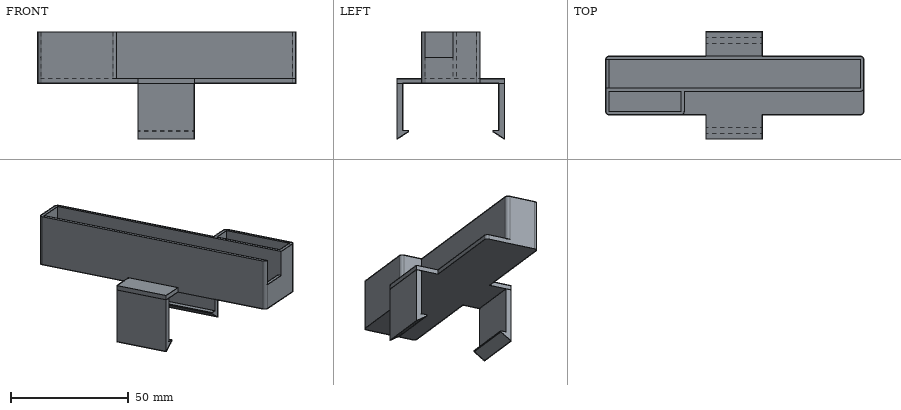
import cadquery as cq

tray_length = 110.0
tray_height = 22.0
base_thickness = 2.0
wall = 1.5
corner_radius = 1.5

long_pocket_width = 12.0
short_pocket_length = 30.5
short_pocket_width = 8.5
end_notch_depth = tray_height / 2

long_box_width = long_pocket_width + 2 * wall
short_box_length = short_pocket_length + 2 * wall
short_box_width = short_pocket_width + 2 * wall
tray_width = long_box_width + short_box_width - wall
long_pocket_length = tray_length - 2 * wall
divider_y = short_box_width - wall
pocket_depth = tray_height - base_thickness

tab_start = 42.75
tab_length = 24.0
tab_reach = 10.4

clip_thickness = 2.5
clip_straight_drop = 20.0
hook_reach = 2.5
hook_tip_thickness = 0.5
clip_drop = 23.75

front_tab_y = -tab_reach
back_tab_y = tray_width + tab_reach


def block(x, y, z, length, width, height):
    """Box placed by its lowest corner."""
    return cq.Workplane("XY").box(length, width, height, centered=False).translate((x, y, z))


def make_tray():
    base = block(0, 0, 0, tray_length, tray_width, base_thickness).edges("|Z").fillet(corner_radius)
    tabs = block(tab_start, front_tab_y, 0, tab_length, back_tab_y - front_tab_y, base_thickness)

    long_box = block(0, divider_y, 0, tray_length, long_box_width, tray_height)
    long_box = long_box.edges("|Z and (>X or >Y)").fillet(corner_radius)
    short_box = block(0, 0, 0, short_box_length, short_box_width, tray_height)
    short_box = short_box.edges("|Z and <Y").fillet(corner_radius)
    body = base.union(tabs).union(long_box).union(short_box)

    long_pocket_y = divider_y + wall
    long_pocket = block(
        wall, long_pocket_y, base_thickness, long_pocket_length, long_pocket_width, pocket_depth
    )
    short_pocket = block(
        wall, wall, base_thickness, short_pocket_length, short_pocket_width, pocket_depth
    )

    notch_z = tray_height - end_notch_depth
    end_notch = block(0, long_pocket_y, notch_z, wall, long_pocket_width, end_notch_depth)
    return body.cut(long_pocket).cut(short_pocket).cut(end_notch)


def make_clip(outer_y, inward):
    """Clip flush with a tab's end at outer_y; inward is the Y direction of its hook."""
    inner_y = outer_y + inward * clip_thickness
    hook_y = inner_y + inward * hook_reach
    profile = [
        (outer_y, 0),
        (inner_y, 0),
        (inner_y, -clip_straight_drop),
        (hook_y, -clip_straight_drop),
        (hook_y, -clip_straight_drop - hook_tip_thickness),
        (outer_y, -clip_drop),
    ]
    return cq.Workplane("YZ", origin=(tab_start, 0, 0)).polyline(profile).close().extrude(tab_length)


tray = make_tray()
clips = [make_clip(outer_y, inward) for outer_y, inward in ((front_tab_y, 1), (back_tab_y, -1))]

result = cq.Compound.makeCompound([tray.val(), *[clip.val() for clip in clips]])